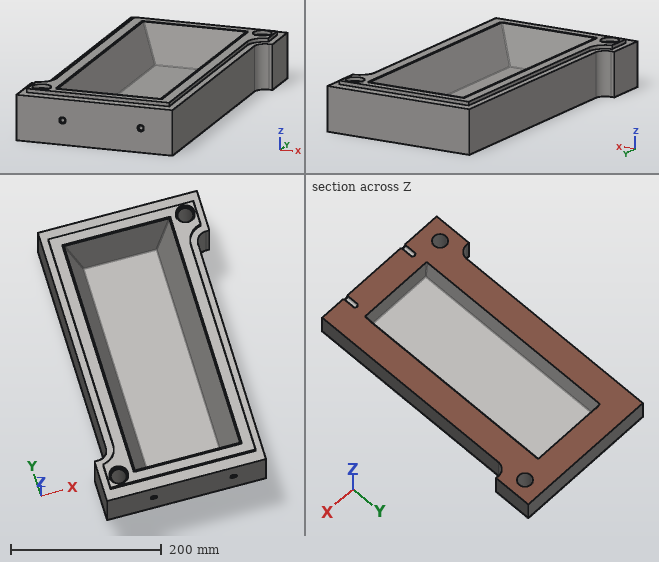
import cadquery as cq
import math

length = 400.0
overall_width = 240.0
ear_step = 20.0
ear_length = 60.0
body_height = 63.0
neck_radius = 15.0

land_height = 5.0
land_end_margin = 15.0
land_side_margin = 10.0
land_ear_margin = 9.0
total_height = body_height + land_height

rim_width = 149.5
rim_length = 343.0
ledge_width = 2.0
ledge_depth = 0.5
ledge_corner_radius = 1.5
pocket_edge_radius = 1.0
floor_width = 101.5
floor_length = 308.0
pocket_depth = 54.0

ear_hole_x = 95.0
ear_hole_y = 170.0
ear_hole_diameter = 21.0
ear_bore_diameter = 25.0
ear_bore_depth = 5.0

side_hole_x = 55.0
side_hole_z = 34.0
side_hole_diameter = 6.5
side_sink_diameter = 9.0
side_hole_depth = 20.0
drill_point_angle = 118.0

half_length = length / 2
ear_x = overall_width / 2
side_x = ear_x - ear_step
neck_center_x = side_x + neck_radius
neck_center_y = half_length - ear_length - neck_radius


def eared_prism(ear_x, side_x, end_y, neck_arc_radius, height):
    """Extrude a half-turn symmetric outline with a concave arc at each ear neck."""
    arc_end_x = min(neck_center_x, ear_x)
    end_angle = math.acos((arc_end_x - neck_center_x) / neck_arc_radius)
    middle_angle = (math.pi + end_angle) / 2

    def on_arc(angle, turn):
        x = neck_center_x + neck_arc_radius * math.cos(angle)
        y = neck_center_y + neck_arc_radius * math.sin(angle)
        return turn * x, turn * y

    outline = cq.Workplane("XY").moveTo(-side_x, end_y)
    for turn in (1, -1):
        outline = outline.lineTo(turn * ear_x, turn * end_y)
        if ear_x > arc_end_x:
            outline = outline.lineTo(turn * ear_x, on_arc(end_angle, turn)[1])
        outline = outline.lineTo(*on_arc(end_angle, turn))
        outline = outline.threePointArc(on_arc(middle_angle, turn), on_arc(math.pi, turn))
        if turn == 1:
            outline = outline.lineTo(side_x, -end_y)
    return outline.close().extrude(height)


def pocket_cutter():
    """Tapered pocket with rounded edges, below a shallow ledge around its mouth."""
    mouth = cq.Sketch().rect(rim_width - 2 * ledge_width, rim_length - 2 * ledge_width)
    floor = cq.Sketch().rect(floor_width, floor_length)
    taper = (
        cq.Workplane("XY", origin=(0, 0, total_height))
        .placeSketch(mouth, floor.moved(cq.Location(cq.Vector(0, 0, -pocket_depth))))
        .loft()
        .edges("not >Z")
        .fillet(pocket_edge_radius)
    )
    ledge = (
        cq.Workplane("XY", origin=(0, 0, total_height - ledge_depth))
        .rect(rim_width, rim_length)
        .extrude(ledge_depth)
        .edges("|Z")
        .fillet(ledge_corner_radius)
    )
    return taper.union(ledge)


def side_hole_cutter():
    """Profile of one blind hole, revolved about its axis along Y."""
    radius = side_hole_diameter / 2
    sink_radius = side_sink_diameter / 2
    sink_depth = sink_radius - radius
    point_length = radius / math.tan(math.radians(drill_point_angle / 2))
    profile = cq.Workplane("XY").polyline([
        (0, 0),
        (sink_radius, 0),
        (radius, sink_depth),
        (radius, side_hole_depth),
        (0, side_hole_depth + point_length),
    ])
    return profile.close().revolve(360, (0, 0, 0), (0, 1, 0))


body = eared_prism(ear_x, side_x, half_length, neck_radius, body_height)
land = eared_prism(
    ear_x - land_ear_margin,
    side_x - land_side_margin,
    half_length - land_end_margin,
    neck_radius + land_side_margin,
    total_height,
)
result = body.union(land).cut(pocket_cutter())

result = (
    result.faces(">Z").workplane(origin=(0, 0, total_height))
    .pushPoints([(ear_hole_x, ear_hole_y), (-ear_hole_x, -ear_hole_y)])
    .cboreHole(ear_hole_diameter, ear_bore_diameter, ear_bore_depth)
)

for hole_x in (-side_hole_x, side_hole_x):
    result = result.cut(side_hole_cutter().translate((hole_x, -half_length, side_hole_z)))